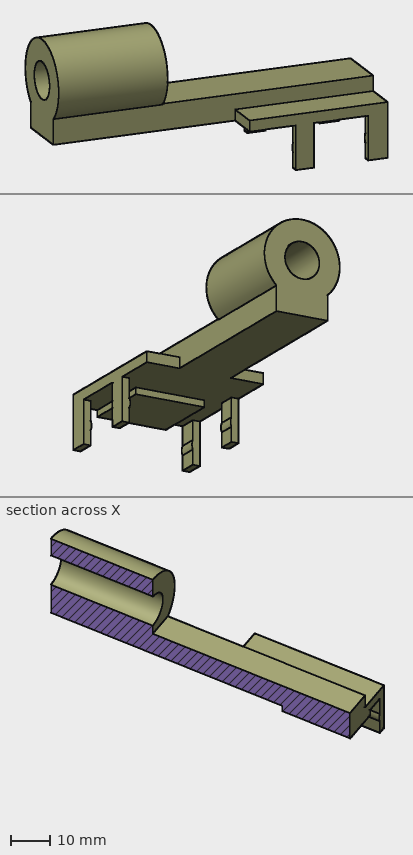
import cadquery as cq

length = 88.0
overall_height = 37.9
leg_height = 12.0

bar_width = 15.0
bar_height = 7.1

plate_width = 34.0
plate_length = 38.0
plate_thickness = 3.0

leg_thickness = 2.1
rear_leg_length = 5.4
front_leg_length = 5.0
leg_gap = 14.9
ridge_width = 2.55
ridge_rise = 0.3
ridge_height = 5.4

pad_size = 20.0
pad_thickness = 1.85

barrel_diameter = 22.0
bore_diameter = 10.0
barrel_length = 30.0
barrel_axis_height = overall_height - barrel_diameter / 2


def block(width, y_start, y_length, z_bottom, height):
    """Box centred on X = 0."""
    return (
        cq.Workplane("XY")
        .box(width, y_length, height, centered=(True, False, False))
        .translate((0, y_start, z_bottom))
    )


def leg(y_start, y_length):
    """Left-hand leg with a shallow rounded ridge along its inner face."""
    outer = -plate_width / 2
    inner = outer + leg_thickness
    return (
        cq.Workplane("XZ", origin=(0, y_start, 0))
        .moveTo(outer, 0)
        .lineTo(inner, 0)
        .lineTo(inner, ridge_height - ridge_width / 2)
        .threePointArc(
            (inner + ridge_rise, ridge_height),
            (inner, ridge_height + ridge_width / 2),
        )
        .lineTo(inner, leg_height)
        .lineTo(outer, leg_height)
        .close()
        .extrude(-y_length)
    )


def barrel_cylinder(diameter):
    """Cylinder on the barrel axis, running back from the front end."""
    return (
        cq.Workplane("XZ", origin=(0, 0, barrel_axis_height))
        .circle(diameter / 2)
        .extrude(-barrel_length)
    )


bar = block(bar_width, 0, length, leg_height, bar_height)
plate = block(plate_width, length - plate_length, plate_length, leg_height, plate_thickness)
pad = block(pad_size, length - pad_size, pad_size, leg_height - pad_thickness, pad_thickness)
body = bar.union(plate).union(pad)

rear_leg_start = length - rear_leg_length
front_leg_start = rear_leg_start - leg_gap - front_leg_length
for y_start, y_length in (
    (rear_leg_start, rear_leg_length),
    (front_leg_start, front_leg_length),
):
    left_leg = leg(y_start, y_length)
    body = body.union(left_leg).union(left_leg.mirror("YZ"))

result = body.union(barrel_cylinder(barrel_diameter)).cut(barrel_cylinder(bore_diameter))